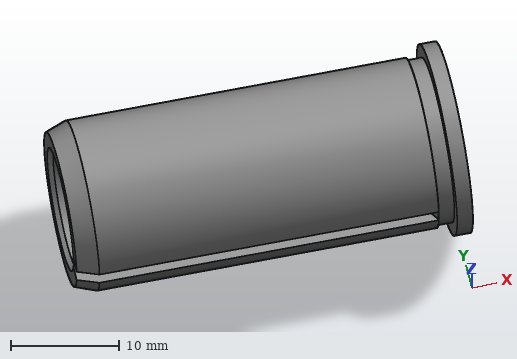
import cadquery as cq
import math

total_length = 37.0
flange_thickness = 1.5
groove_width = 1.5
nose_taper_length = 2.0
bore_chamfer_length = 0.5

flange_radius = 9.0
body_radius = 8.0
groove_radius = 7.75
bore_radius = 5.5

nose_taper_angle = 20.0
bore_chamfer_angle = 30.0

slot_width = 1.5
saw_radius = 15.0
saw_axis_offset = 16.0
slot_end_radial_position = 7.88

flange_start = total_length - flange_thickness
body_end = flange_start - groove_width
nose_radius = body_radius - nose_taper_length * math.tan(math.radians(nose_taper_angle))
bore_mouth_radius = bore_radius + bore_chamfer_length * math.tan(math.radians(bore_chamfer_angle))

saw_end_x = body_end - math.sqrt(saw_radius**2 - (saw_axis_offset - slot_end_radial_position) ** 2)


def make_sleeve():
    """Revolve the half section: tapered nose, body, relief groove, flange and bore."""
    half_section = [
        (0, bore_mouth_radius),
        (0, nose_radius),
        (nose_taper_length, body_radius),
        (body_end, body_radius),
        (body_end, groove_radius),
        (flange_start, groove_radius),
        (flange_start, flange_radius),
        (total_length, flange_radius),
        (total_length, bore_radius),
        (bore_chamfer_length, bore_radius),
    ]
    return cq.Workplane("XY").polyline(half_section).close().revolve(360, (0, 0, 0), (1, 0, 0))


def make_slot_cutter():
    """Space swept by the saw: a straight run from the nose, ending in the round saw rim."""
    saw_disc = (
        cq.Workplane("XY")
        .center(saw_end_x, -saw_axis_offset)
        .circle(saw_radius)
        .extrude(slot_width / 2, both=True)
    )
    straight_run = cq.Workplane("XY").box(
        saw_end_x, saw_radius, slot_width, centered=(False, False, True)
    )
    return saw_disc.union(straight_run.translate((0, -saw_axis_offset, 0)))


result = make_sleeve().cut(make_slot_cutter())